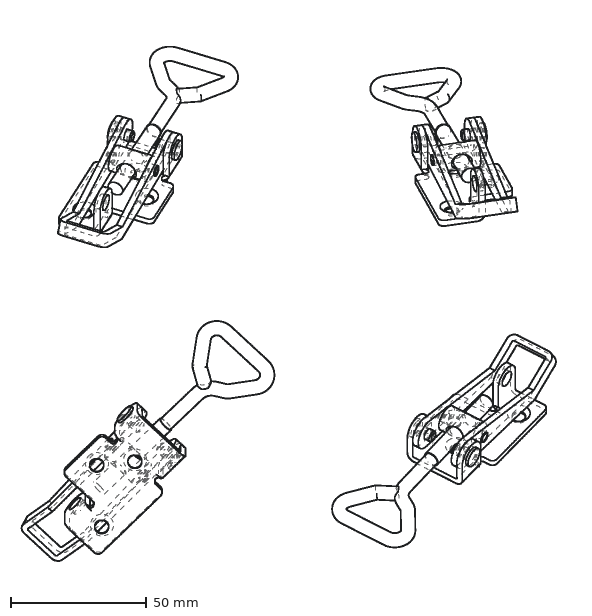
import cadquery as cq
import math


SHEET = 2.5
BEND_INNER = 0.6
BEND_OUTER = BEND_INNER + SHEET

PIVOT_Z = 11.0
HUB_DIAMETER = 12.0
HUB_RADIUS = HUB_DIAMETER / 2

LEVER_HALF_WIDTH = 10.0
LEVER_INNER_HALF_WIDTH = LEVER_HALF_WIDTH - SHEET
ELBOW_TOP = (-43.2, 8.2)
ELBOW_BOTTOM = (-44.0, 2.6)
HANDLE_ANGLE = 29.0
HANDLE_LENGTH = 17.7
HANDLE_BLOCK_REACH = 112.3

PLATE_HALF_WIDTH = 16.2
PLATE_SHOULDER_Y = -9.0
PLATE_STEP_Y = -30.1
PLATE_END_Y = -44.0
PLATE_CORNER_RADIUS = 2.0
EAR_RELIEF_CENTER_X = 11.7
TAB_RELIEF_CENTER_X = 0.2
SCREW_POINTS = [(0, -8.1), (9.1, -19.0), (-9.1, -34.9)]
SCREW_DIAMETER = 5.2
SCREW_HEAD_DIAMETER = 8.5
SCREW_HEAD_ANGLE = 90

EAR_OUTER_X = LEVER_HALF_WIDTH + SHEET

TAB_RADIUS = 5.5
TAB_TOP_Z = 18.5
TAB_Z = TAB_TOP_Z - TAB_RADIUS
TAB_Y = PLATE_END_Y + TAB_RADIUS
TAB_OUTER_X = SHEET / 2
TAB_HOLE_DIAMETER = 6.0

RIVET_DIAMETER = 4.3
RIVET_HEAD_DIAMETER = 7.5
RIVET_HEAD_HEIGHT = 1.0
RIVET_TIP_X = 4.8
RIVET_TIP_CHAMFER = 0.6

BARREL_Y = -11.9
BARREL_Z = 9.5
BARREL_DIAMETER = 10.0
BARREL_HALF_LENGTH = 7.3
JOURNAL_DIAMETER = 4.0
JOURNAL_CHAMFER = 0.3

ROD_TILT = -1.6
THREAD_DIAMETER = 6.0
THREAD_START_Y = -15.3
THREAD_END_Y = 20.1
WIRE_DIAMETER = 5.4
NECK = (0, 41.1)
SHOULDER = (7.2, 45.4)
TOP_CORNER = (19.3, 62.0)
NECK_BEND = 7.2
SHOULDER_BEND = 4.5
TOP_BEND = 4.9


def x_cylinder(diameter, x_start, x_end, y, z):
    """Cylinder along X."""
    circle = cq.Workplane("YZ", origin=(x_start, 0, 0)).center(y, z).circle(diameter / 2)
    return circle.extrude(x_end - x_start)



def bent_flange(outer_x, y, z, radius):
    """Upright flange with a round top about (y, z), joined to the plate by a bend below it."""
    root_x = outer_x - BEND_OUTER
    top_z = z + radius
    strip = (
        cq.Workplane("XZ", origin=(0, y, 0))
        .moveTo(root_x, 0)
        .radiusArc((outer_x, BEND_OUTER), -BEND_OUTER)
        .lineTo(outer_x, top_z)
        .lineTo(outer_x - SHEET, top_z)
        .lineTo(outer_x - SHEET, BEND_OUTER)
        .radiusArc((root_x, SHEET), BEND_INNER)
        .close()
        .extrude(radius, both=True)
    )
    outline = (
        cq.Workplane("YZ", origin=(root_x, 0, 0))
        .moveTo(y - radius, 0)
        .lineTo(y + radius, 0)
        .lineTo(y + radius, z)
        .threePointArc((y, top_z), (y - radius, z))
        .close()
        .extrude(BEND_OUTER)
    )
    return strip.intersect(outline)


def base_plate():
    """Flat plate with round bend reliefs beside the ears and the tab."""
    ear_root_x = EAR_OUTER_X - BEND_OUTER
    tab_root_x = TAB_OUTER_X - BEND_OUTER
    tab_edge_y = TAB_Y + TAB_RADIUS
    ear_relief_radius = (-HUB_RADIUS - PLATE_SHOULDER_Y) / 2
    ear_relief_tip = (EAR_RELIEF_CENTER_X - ear_relief_radius, PLATE_SHOULDER_Y + ear_relief_radius)
    tab_relief_radius = (PLATE_STEP_Y - tab_edge_y) / 2
    tab_relief_tip = (TAB_RELIEF_CENTER_X - tab_relief_radius, tab_edge_y + tab_relief_radius)
    return (
        cq.Workplane("XY")
        .moveTo(-ear_root_x, HUB_RADIUS)
        .lineTo(ear_root_x, HUB_RADIUS)
        .lineTo(ear_root_x, -HUB_RADIUS)
        .lineTo(EAR_RELIEF_CENTER_X, -HUB_RADIUS)
        .threePointArc(ear_relief_tip, (EAR_RELIEF_CENTER_X, PLATE_SHOULDER_Y))
        .lineTo(PLATE_HALF_WIDTH, PLATE_SHOULDER_Y)
        .lineTo(PLATE_HALF_WIDTH, PLATE_STEP_Y)
        .lineTo(TAB_RELIEF_CENTER_X, PLATE_STEP_Y)
        .threePointArc(tab_relief_tip, (TAB_RELIEF_CENTER_X, tab_edge_y))
        .lineTo(tab_root_x, tab_edge_y)
        .lineTo(tab_root_x, PLATE_END_Y)
        .lineTo(-PLATE_HALF_WIDTH, PLATE_END_Y)
        .lineTo(-PLATE_HALF_WIDTH, PLATE_SHOULDER_Y)
        .lineTo(-EAR_RELIEF_CENTER_X, PLATE_SHOULDER_Y)
        .threePointArc((-ear_relief_tip[0], ear_relief_tip[1]), (-EAR_RELIEF_CENTER_X, -HUB_RADIUS))
        .lineTo(-ear_root_x, -HUB_RADIUS)
        .close()
        .extrude(SHEET)
        .edges("|Z and (<X or >X)")
        .fillet(PLATE_CORNER_RADIUS)
    )


def make_base():
    """Plate with two pivot ears, a padlock tab and three countersunk screw holes."""
    ear = bent_flange(EAR_OUTER_X, 0, PIVOT_Z, HUB_RADIUS)
    tab = bent_flange(TAB_OUTER_X, TAB_Y, TAB_Z, TAB_RADIUS)
    base = base_plate().union(ear).union(ear.mirror("YZ")).union(tab)
    plate_top = cq.Workplane("XY", origin=(0, 0, SHEET))
    base = base.cut(x_cylinder(RIVET_DIAMETER, -EAR_OUTER_X, EAR_OUTER_X, 0, PIVOT_Z))
    base = base.cut(x_cylinder(TAB_HOLE_DIAMETER, -TAB_OUTER_X, TAB_OUTER_X, TAB_Y, TAB_Z))
    return (
        base.copyWorkplane(plate_top)
        .pushPoints(SCREW_POINTS)
        .cskHole(SCREW_DIAMETER, SCREW_HEAD_DIAMETER, SCREW_HEAD_ANGLE)
    )



def hub_tangent_point(point, side):
    """Point where a line from (y, z) touches the hub circle; side is 1 for its top, -1 for its bottom."""
    dy = point[0]
    dz = point[1] - PIVOT_Z
    toward_point = math.atan2(dz, dy)
    turn = math.acos(HUB_RADIUS / math.hypot(dy, dz))
    angle = toward_point - side * turn
    return (HUB_RADIUS * math.cos(angle), PIVOT_Z + HUB_RADIUS * math.sin(angle))


def handle_block(half_width, end_distance, corner_radius):
    """Long block lying along the handle, ending end_distance from the lower elbow with rounded corners."""
    elbow_y, elbow_z = ELBOW_BOTTOM
    return (
        cq.Workplane("XY")
        .box(2 * half_width, HANDLE_BLOCK_REACH, HANDLE_BLOCK_REACH, centered=(True, False, True))
        .edges("|Z and <Y")
        .fillet(corner_radius)
        .translate((0, elbow_y - end_distance, elbow_z))
        .rotate((0, elbow_y, elbow_z), (1, elbow_y, elbow_z), -HANDLE_ANGLE)
    )


def make_lever():
    """U-shaped strip: two tapering legs from the pivot hubs, joined at the raised handle."""
    angle = math.radians(HANDLE_ANGLE)
    along = (-math.cos(angle), math.sin(angle))
    across = (math.sin(angle), math.cos(angle))
    rise = (ELBOW_TOP[0] - ELBOW_BOTTOM[0]) * across[0] + (ELBOW_TOP[1] - ELBOW_BOTTOM[1]) * across[1]
    end_bottom = (ELBOW_BOTTOM[0] + HANDLE_LENGTH * along[0], ELBOW_BOTTOM[1] + HANDLE_LENGTH * along[1])
    end_top = (end_bottom[0] + rise * across[0], end_bottom[1] + rise * across[1])
    side = (
        cq.Workplane("YZ")
        .moveTo(*hub_tangent_point(ELBOW_TOP, 1))
        .threePointArc((HUB_RADIUS, PIVOT_Z), hub_tangent_point(ELBOW_BOTTOM, -1))
        .lineTo(*ELBOW_BOTTOM)
        .lineTo(*end_bottom)
        .lineTo(*end_top)
        .lineTo(*ELBOW_TOP)
        .close()
        .extrude(LEVER_HALF_WIDTH, both=True)
    )
    outside = handle_block(LEVER_HALF_WIDTH, HANDLE_LENGTH, BEND_OUTER)
    inside = handle_block(LEVER_INNER_HALF_WIDTH, HANDLE_LENGTH - SHEET, BEND_INNER)
    lever = side.intersect(outside).cut(inside)
    for diameter, y, z in [(RIVET_DIAMETER, 0, PIVOT_Z), (JOURNAL_DIAMETER, BARREL_Y, BARREL_Z)]:
        lever = lever.cut(x_cylinder(diameter, -LEVER_HALF_WIDTH, LEVER_HALF_WIDTH, y, z))
    return lever



def make_rivet(side):
    """Headed rivet through one ear and lever leg; side is 1 for +X, -1 for -X."""
    shank = x_cylinder(RIVET_DIAMETER, RIVET_TIP_X, EAR_OUTER_X, 0, PIVOT_Z)
    shank = shank.faces("<X").chamfer(RIVET_TIP_CHAMFER)
    head = x_cylinder(RIVET_HEAD_DIAMETER, EAR_OUTER_X, EAR_OUTER_X + RIVET_HEAD_HEIGHT, 0, PIVOT_Z)
    rivet = shank.union(head)
    return rivet if side > 0 else rivet.mirror("YZ")



def place_on_lever(body):
    """Tilt a body made about the barrel centre and move it to its place in the lever."""
    return body.rotate((0, 0, 0), (1, 0, 0), ROD_TILT).translate((0, BARREL_Y, BARREL_Z))


def y_cylinder(diameter, y_start, y_end):
    """Cylinder along Y through the barrel centre line."""
    return cq.Workplane("XZ", origin=(0, y_start, 0)).circle(diameter / 2).extrude(y_start - y_end)


def make_barrel():
    """Cross barrel with end journals and a threaded-rod hole countersunk on both sides."""
    body = x_cylinder(BARREL_DIAMETER, -BARREL_HALF_LENGTH, BARREL_HALF_LENGTH, 0, 0)
    journals = x_cylinder(JOURNAL_DIAMETER, -LEVER_HALF_WIDTH, LEVER_HALF_WIDTH, 0, 0)
    journals = journals.faces("<X or >X").chamfer(JOURNAL_CHAMFER)
    barrel_radius = BARREL_DIAMETER / 2
    hole_radius = THREAD_DIAMETER / 2
    crown_y = math.sqrt(barrel_radius ** 2 - hole_radius ** 2)
    rim_radius = hole_radius + barrel_radius - crown_y
    countersink = (
        cq.Workplane("XY")
        .moveTo(0, crown_y)
        .lineTo(hole_radius, crown_y)
        .lineTo(rim_radius, barrel_radius)
        .lineTo(0, barrel_radius)
        .close()
        .revolve(360, (0, 0), (0, 1))
    )
    barrel = body.union(journals).cut(y_cylinder(THREAD_DIAMETER, -barrel_radius, barrel_radius))
    barrel = barrel.cut(countersink).cut(countersink.mirror("XZ"))
    return place_on_lever(barrel)


def toward(start, target, distance):
    """Point at a distance from start on the line to target."""
    step = distance / math.dist(start, target)
    return (start[0] + step * (target[0] - start[0]), start[1] + step * (target[1] - start[1]))


def add_bend(path, before, corner, after, radius):
    """Continue a path straight on, then round the corner with a tangent arc."""
    heading_in = math.atan2(corner[1] - before[1], corner[0] - before[0])
    heading_out = math.atan2(after[1] - corner[1], after[0] - corner[0])
    turn = math.remainder(heading_out - heading_in, 2 * math.pi)
    setback = radius * math.tan(abs(turn) / 2)
    arc_end = toward(corner, after, setback)
    return path.lineTo(*toward(corner, before, setback)).tangentArcPoint(arc_end, relative=False)


def make_draw_rod():
    """Threaded rod whose wire end is bent into a triangular eye closing on its own neck."""
    wire_start = (0, THREAD_END_Y)
    left_shoulder = (-SHOULDER[0], SHOULDER[1])
    left_corner = (-TOP_CORNER[0], TOP_CORNER[1])
    top_middle = (0, TOP_CORNER[1])

    left_path = cq.Workplane("XY").moveTo(*wire_start)
    left_path = add_bend(left_path, wire_start, NECK, left_shoulder, NECK_BEND)
    left_path = add_bend(left_path, NECK, left_shoulder, left_corner, SHOULDER_BEND)
    left_path = add_bend(left_path, left_shoulder, left_corner, top_middle, TOP_BEND)
    left_path = left_path.lineTo(*top_middle)
    left_wire = cq.Workplane("XZ", origin=(0, THREAD_END_Y, 0)).circle(WIRE_DIAMETER / 2).sweep(left_path)

    right_path = cq.Workplane("XY").moveTo(*top_middle)
    right_path = add_bend(right_path, top_middle, TOP_CORNER, SHOULDER, TOP_BEND)
    right_path = right_path.lineTo(*SHOULDER).lineTo(*NECK)
    right_start = cq.Workplane("YZ", origin=(0, TOP_CORNER[1], 0))
    right_wire = right_start.circle(WIRE_DIAMETER / 2).sweep(right_path, transition="right")

    thread = y_cylinder(THREAD_DIAMETER, THREAD_START_Y, THREAD_END_Y)
    return place_on_lever(thread.union(left_wire).union(right_wire))



base = make_base()
lever = make_lever()
rivets = [make_rivet(side) for side in (1, -1)]
barrel = make_barrel()
draw_rod = make_draw_rod()

result = cq.Compound.makeCompound(
    [base.val(), lever.val(), *[rivet.val() for rivet in rivets], barrel.val(), draw_rod.val()]
)